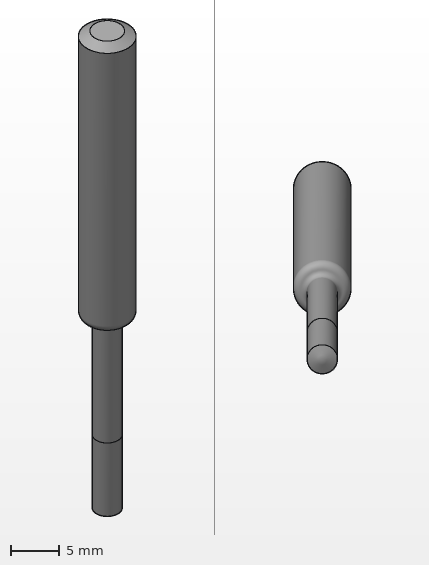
import cadquery as cq
import math

total_length = 62.0
shank_diameter = 6.0
neck_diameter = 3.15
tip_length = 10.0

top_face_diameter = 3.6
top_bevel_height = 0.7

shoulder_top = 26.05
shoulder_round = 0.9
neck_fillet = 0.75

point_height = 0.5

shank_radius = shank_diameter / 2
neck_radius = neck_diameter / 2

round_centre_radius = shank_radius - shoulder_round
arc_centre_offset = neck_radius + neck_fillet - round_centre_radius
arc_centre_drop = math.sqrt((shoulder_round + neck_fillet) ** 2 - arc_centre_offset**2)
neck_top = shoulder_top - arc_centre_drop
round_share = shoulder_round / (shoulder_round + neck_fillet)
arc_meeting_radius = round_centre_radius + round_share * arc_centre_offset
arc_meeting_height = shoulder_top - round_share * arc_centre_drop


def revolve_about_z(profile):
    """Turn a closed radius-height profile into a solid around the Z axis."""
    return profile.close().revolve(360, (0, 0, 0), (0, 1, 0))


def make_holder():
    """Bevelled shank that steps down to the neck through a rounded shoulder."""
    profile = (
        cq.Workplane("XZ")
        .moveTo(0, tip_length)
        .lineTo(neck_radius, tip_length)
        .lineTo(neck_radius, neck_top)
        .radiusArc((arc_meeting_radius, arc_meeting_height), neck_fillet)
        .radiusArc((shank_radius, shoulder_top), -shoulder_round)
        .lineTo(shank_radius, total_length - top_bevel_height)
        .lineTo(top_face_diameter / 2, total_length)
        .lineTo(0, total_length)
    )
    return revolve_about_z(profile)


def make_tip():
    """Cylindrical cutting tip with a shallow conical point, butted against the neck."""
    profile = (
        cq.Workplane("XZ")
        .lineTo(neck_radius, point_height)
        .lineTo(neck_radius, tip_length)
        .lineTo(0, tip_length)
    )
    return revolve_about_z(profile)


holder = make_holder()
tip = make_tip()

result = cq.Compound.makeCompound([holder.val(), tip.val()])